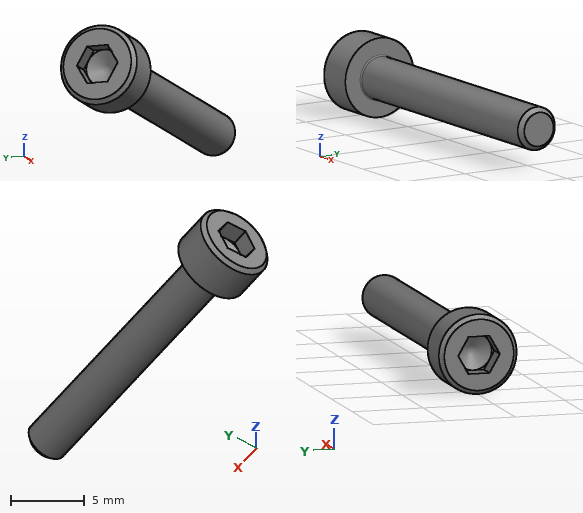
import cadquery as cq
import math

total_length = 23.0
head_diameter = 5.5
head_length = 3.0
shank_diameter = 3.0
head_chamfer = 0.3
tip_chamfer = 0.32
neck_fillet = 0.1

socket_flats = 2.55
socket_corners = socket_flats / math.cos(math.radians(30))
socket_depth = 1.3
cone_half_angle = 60.0
cone_radius = socket_flats / 2
cone_depth = cone_radius / math.tan(math.radians(cone_half_angle))


def make_head():
    head = cq.Workplane("YZ").circle(head_diameter / 2).extrude(head_length)
    return head.faces("<X").chamfer(head_chamfer)


def make_shank():
    shank = cq.Workplane("YZ").circle(shank_diameter / 2).extrude(total_length)
    return shank.faces(">X").chamfer(tip_chamfer)


def make_socket():
    hexagon = cq.Workplane("YZ").polygon(6, socket_corners).extrude(socket_depth)
    cone = cq.Workplane(
        cq.Solid.makeCone(
            cone_radius, 0, cone_depth, cq.Vector(socket_depth, 0, 0), cq.Vector(1, 0, 0)
        )
    )
    return hexagon.union(cone)


body = make_head().union(make_shank())
neck_edge = cq.selectors.RadiusNthSelector(0)
underside = body.faces(cq.selectors.NearestToPointSelector((head_length, 0, 0)))
body = underside.edges(neck_edge).fillet(neck_fillet)

result = body.cut(make_socket())